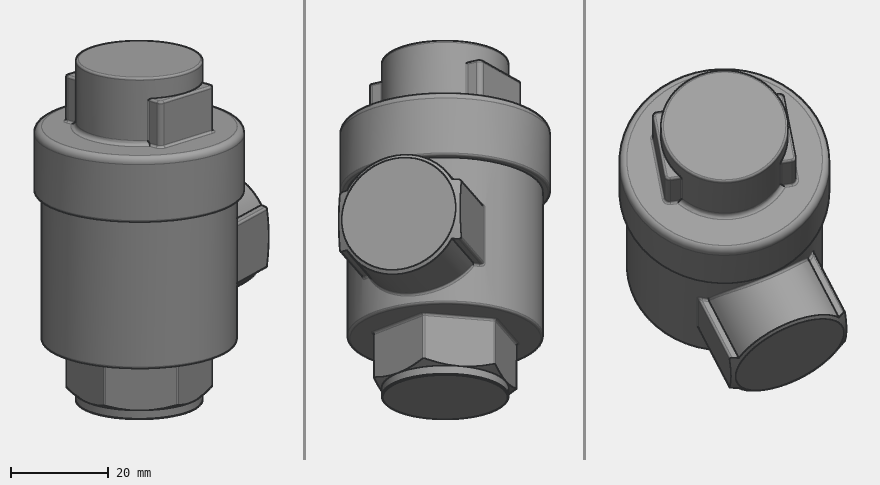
import cadquery as cq
import math

TOLERANCE = 0.001

HEX_BOTTOM = 2.0
BODY_BOTTOM = 13.0
COLLAR_BOTTOM = 44.8
COLLAR_TOP = 58.8
LUG_TOP = 68.7
TOTAL_HEIGHT = 73.2

BODY_DIAMETER = 40.0
COLLAR_DIAMETER = 43.0
PORT_DIAMETER = 26.0
COLLAR_TOP_ROUND = 1.5
EDGE_ROUND = 0.5
KNOB_BASE_ROUND = 1.0
NECK_CHAMFER = 0.25

HEX_FLATS = PORT_DIAMETER
HEX_SIDES = 6
HEX_HALF_ANGLE = 180.0 / HEX_SIDES
HEX_CORNER_ROUND = 0.5
HEX_BLEND = 0.5
CORNER_CHAMFER_ANGLE = 30.0

PORT_REACH = 32.0
PORT_HEIGHT = 28.5
PORT_FLAT_WIDTH = 13.0
PORT_FACE_RADIUS = 12.2
PORT_FLAT_ROUND = 0.5
PORT_BLEND = 0.5

LUG_SPAN = 27.2
LUG_WIDTH = 16.0
LUG_TURN = -15.0
LUG_CORNER_ROUND = 1.0
LUG_TOP_ROUND = 0.5
LUG_BLEND = 0.5


def cylinder(diameter, bottom, top):
    """Upright cylinder on the Z axis."""
    return cq.Workplane("XY").workplane(offset=bottom).circle(diameter / 2).extrude(top - bottom)


def chamfer_cone(face_radius, length):
    """Revolved envelope that widens from its face at Z = 0, then runs straight along +Z."""
    outer_radius = 2 * face_radius
    rise = (outer_radius - face_radius) * math.tan(math.radians(CORNER_CHAMFER_ANGLE))
    return (
        cq.Workplane("XZ")
        .moveTo(0, 0)
        .lineTo(face_radius, 0)
        .lineTo(outer_radius, rise)
        .lineTo(outer_radius, length)
        .lineTo(0, length)
        .close()
        .revolve(360, (0, 0, 0), (0, 1, 0))
    )


def make_body():
    """Main barrel with its lower rim rounded."""
    return cylinder(BODY_DIAMETER, BODY_BOTTOM, COLLAR_BOTTOM).faces("<Z").edges().fillet(EDGE_ROUND)


def make_collar():
    """Wider cap ring with a large round on its top rim."""
    collar = cylinder(COLLAR_DIAMETER, COLLAR_BOTTOM, COLLAR_TOP)
    collar = collar.faces(">Z").edges().fillet(COLLAR_TOP_ROUND)
    return collar.faces("<Z").edges().fillet(EDGE_ROUND)


def make_bottom_hex():
    """Hexagon with chamfered lower corners above a short round neck."""
    corner_diameter = HEX_FLATS / math.cos(math.radians(HEX_HALF_ANGLE))
    hexagon = (
        cq.Workplane("XY")
        .workplane(offset=HEX_BOTTOM)
        .transformed(rotate=(0, 0, HEX_HALF_ANGLE))
        .polygon(HEX_SIDES, corner_diameter)
        .extrude(BODY_BOTTOM - HEX_BOTTOM)
        .edges("|Z")
        .fillet(HEX_CORNER_ROUND)
    )
    envelope = chamfer_cone(HEX_FLATS / 2, BODY_BOTTOM).translate((0, 0, HEX_BOTTOM))
    neck = cylinder(PORT_DIAMETER, 0, BODY_BOTTOM).faces("<Z").chamfer(NECK_CHAMFER)
    return neck.union(hexagon.intersect(envelope))


def make_side_port():
    """Round port with a flat wrench pad on each side and a chamfered end."""
    port = cq.Workplane("XY").circle(PORT_DIAMETER / 2).extrude(PORT_REACH)
    pads = (
        cq.Workplane("XY")
        .rect(PORT_DIAMETER, PORT_FLAT_WIDTH)
        .extrude(PORT_REACH)
        .edges("|Z")
        .fillet(PORT_FLAT_ROUND)
    )
    envelope = chamfer_cone(PORT_FACE_RADIUS, PORT_REACH)
    port = port.union(pads).intersect(envelope)
    return port.rotate((0, 0, 0), (1, 0, 0), 90).translate((0, PORT_REACH, PORT_HEIGHT))


def make_lugs():
    """Bar across the knob whose ends stick out as two lugs."""
    return (
        cq.Workplane("XY")
        .workplane(offset=COLLAR_TOP)
        .rect(LUG_SPAN, LUG_WIDTH)
        .extrude(LUG_TOP - COLLAR_TOP)
        .edges("|Z")
        .fillet(LUG_CORNER_ROUND)
        .rotate((0, 0, 0), (0, 0, 1), LUG_TURN)
    )


def make_knob_foot():
    """Concave ring that blends the knob into the collar."""
    radius = PORT_DIAMETER / 2
    return (
        cq.Workplane("XZ")
        .moveTo(0, COLLAR_TOP)
        .lineTo(radius + KNOB_BASE_ROUND, COLLAR_TOP)
        .radiusArc((radius, COLLAR_TOP + KNOB_BASE_ROUND), KNOB_BASE_ROUND)
        .lineTo(0, COLLAR_TOP + KNOB_BASE_ROUND)
        .close()
        .revolve(360, (0, 0, 0), (0, 1, 0))
    )


def make_cap():
    """Collar with the top knob and its lugs, all inner corners blended."""
    knob = cylinder(PORT_DIAMETER, COLLAR_TOP, TOTAL_HEIGHT).faces(">Z").edges().fillet(EDGE_ROUND)
    lug_core = cylinder(PORT_DIAMETER, COLLAR_TOP, LUG_TOP)
    cap = make_collar().union(lug_core).union(make_lugs())

    def is_lug_corner(edge):
        """True for a lug edge lying on the collar, or standing on the knob wall."""
        box = edge.BoundingBox()
        if abs(box.zmin - COLLAR_TOP) > TOLERANCE:
            return False
        center = edge.Center()
        axis_distance = math.hypot(center.x, center.y)
        if box.zlen > TOLERANCE:
            return abs(axis_distance - PORT_DIAMETER / 2) < TOLERANCE
        return axis_distance > PORT_DIAMETER / 2

    cap = cap.edges().filter(is_lug_corner).fillet(LUG_BLEND)
    cap = cap.faces(">Z").edges().fillet(LUG_TOP_ROUND)
    return cap.union(knob).union(make_knob_foot())


def make_lower_body():
    """Barrel with the side port and the bottom hexagon blended into it."""

    def is_hex_root(edge):
        """True for a hexagon edge lying on the barrel's lower face."""
        box = edge.BoundingBox()
        flat = box.zlen < TOLERANCE and abs(box.zmin - BODY_BOTTOM) < TOLERANCE
        return flat and box.DiagonalLength < HEX_FLATS

    def is_port_root(edge):
        """True for an edge where the port leaves the barrel wall."""
        point = edge.positionAt(0.5)
        on_wall = abs(math.hypot(point.x, point.y) - BODY_DIAMETER / 2) < TOLERANCE
        return on_wall and point.y > 0 and abs(point.z - PORT_HEIGHT) < PORT_DIAMETER / 2 + TOLERANCE

    body = make_body().union(make_bottom_hex())
    body = body.edges().filter(is_hex_root).fillet(HEX_BLEND)
    body = body.union(make_side_port())
    return body.edges().filter(is_port_root).fillet(PORT_BLEND)


result = make_lower_body().union(make_cap())